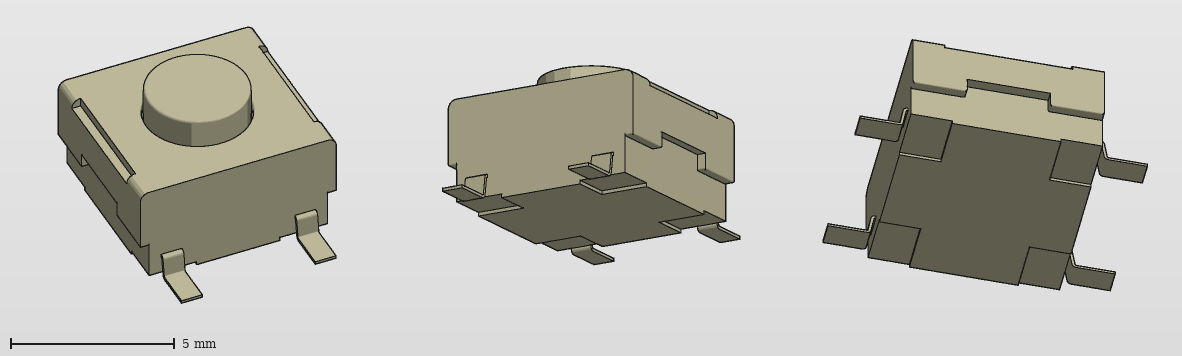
import cadquery as cq
import math

lead_span = 9.0
body_side = 6.0
cover_thickness = 0.3
cover_top = 3.4
button_top = 4.3

body_half = body_side / 2
body_top = cover_top - cover_thickness
cover_depth = body_side + 2 * cover_thickness

foot_relief_height = 0.12
foot_relief_x = 1.3
foot_relief_y = 1.6
tab_width = 4.005
tab_bottom = 1.81

skirt_bottom = 1.3
skirt_gap = 2.6
skirt_edge_rounding = 0.06
cover_hole_diameter = 3.43
cover_hole_rounding = 0.08

button_diameter = 3.3
button_rounding = 0.1

lead_thickness = 0.1
lead_width = 0.7
lead_pitch = 4.5
lead_top = 0.82
lead_lean = math.radians(9)
lead_inner_radius = 0.045
lead_stub = 0.01


def block(size_x, size_y, bottom, top):
    """Box centred on the Z axis between two heights."""
    return cq.Workplane("XY").workplane(offset=bottom).rect(size_x, size_y).extrude(top - bottom)


def make_base():
    base = block(body_side, body_side, 0, body_top)
    reliefs = (
        cq.Workplane("XY")
        .rect(body_side, body_side, forConstruction=True)
        .vertices()
        .rect(2 * foot_relief_x, 2 * foot_relief_y)
        .extrude(foot_relief_height)
    )
    return base.cut(reliefs)


def make_tabs():
    return block(tab_width, cover_depth, tab_bottom, body_top)


def make_cover():
    """Folded sheet: flat top, and a skirt with a stepped gap on the front and back."""
    cover = block(body_side, cover_depth, skirt_bottom, cover_top)
    cover = cover.edges("|X and >Z").fillet(cover_thickness)
    cover = cover.cut(block(skirt_gap, cover_depth, skirt_bottom, tab_bottom))
    cover = cover.faces("<Z").edges().fillet(skirt_edge_rounding)
    cover = cover.cut(block(body_side, body_side, skirt_bottom, body_top))

    upper_gap = block(tab_width, cover_depth, tab_bottom, cover_top)
    upper_gap = upper_gap.cut(block(tab_width, body_side, tab_bottom, cover_top))
    cover = cover.cut(upper_gap)

    cover = cover.faces(">Z").workplane(origin=(0, 0, cover_top)).hole(cover_hole_diameter)
    return cover.faces(">Z").edges("%CIRCLE").fillet(cover_hole_rounding)


def make_button():
    button = (
        cq.Workplane("XY")
        .workplane(offset=body_top)
        .circle(button_diameter / 2)
        .extrude(button_top - body_top)
    )
    return button.faces(">Z").edges().fillet(button_rounding)


def make_lead():
    """Gull-wing strip leaving the +X face of the base, centred on Y = 0."""
    inner = lead_inner_radius
    outer = inner + lead_thickness
    upper_x = body_half + lead_stub
    upper_z = lead_top - outer
    lower_z = outer
    rise = upper_z - lower_z
    lower_x = upper_x + (outer + inner + rise * math.sin(lead_lean)) / math.cos(lead_lean)

    vertical = math.pi / 2
    middle = (vertical + lead_lean) / 2

    def upper_bend(radius, angle):
        return upper_x + radius * math.cos(angle), upper_z + radius * math.sin(angle)

    def lower_bend(radius, angle):
        return lower_x - radius * math.cos(angle), lower_z - radius * math.sin(angle)

    tip = lead_span / 2
    return (
        cq.Workplane("XZ")
        .moveTo(body_half, lead_top)
        .lineTo(*upper_bend(outer, vertical))
        .threePointArc(upper_bend(outer, middle), upper_bend(outer, lead_lean))
        .lineTo(*lower_bend(inner, lead_lean))
        .threePointArc(lower_bend(inner, middle), lower_bend(inner, vertical))
        .lineTo(tip, lead_thickness)
        .lineTo(tip, 0)
        .lineTo(*lower_bend(outer, vertical))
        .threePointArc(lower_bend(outer, middle), lower_bend(outer, lead_lean))
        .lineTo(*upper_bend(inner, lead_lean))
        .threePointArc(upper_bend(inner, middle), upper_bend(inner, vertical))
        .lineTo(body_half, lead_top - lead_thickness)
        .close()
        .extrude(lead_width / 2, both=True)
    )


result = make_base().union(make_tabs()).union(make_cover()).union(make_button())

right_lead = make_lead()
for lead in (right_lead, right_lead.mirror("YZ")):
    for lead_y in (-lead_pitch / 2, lead_pitch / 2):
        result = result.union(lead.translate((0, lead_y, 0)))